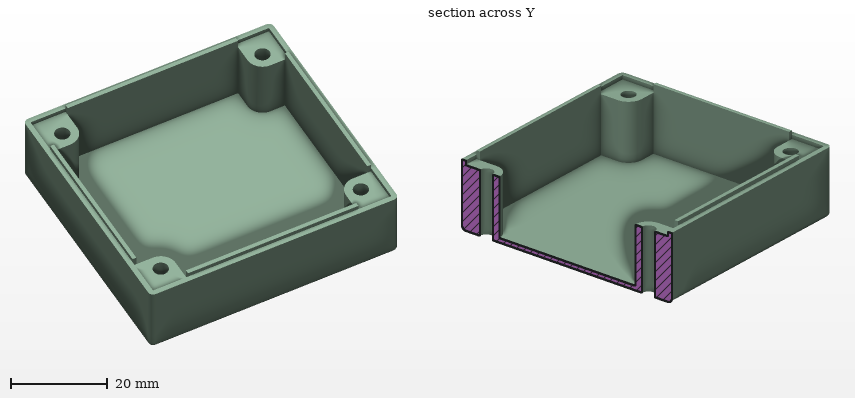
import cadquery as cq

length_x = 55.8
length_y = 58.25
total_height = 17.2

lip_height = 1.0
rim_height = total_height - lip_height
rim_width = 1.15
wall_x = 2.1
wall_y = 2.05
floor_thickness = 1.15
edge_radius = 1.15

hole_diameter = 3.4
hole_spacing_x = 43.0
hole_spacing_y = 46.95
pattern_shift_x = -0.2
pattern_shift_y = 0.25
post_margin = 3.5
post_drop = 1.0
post_top = rim_height - post_drop


def centered_box(size_x, size_y, bottom, top):
    """Box centered on the Z axis between two heights."""
    return cq.Workplane("XY").workplane(offset=bottom).rect(size_x, size_y).extrude(top - bottom)


def make_shell():
    """Open box with rounded outer edges and a raised lip inside its rim."""
    body = centered_box(length_x, length_y, 0, rim_height)
    body = body.edges("|Z or <Z").fillet(edge_radius)
    lip = centered_box(length_x - 2 * rim_width, length_y - 2 * rim_width, rim_height, total_height)
    cavity = centered_box(length_x - 2 * wall_x, length_y - 2 * wall_y, floor_thickness, total_height)
    return body.union(lip).cut(cavity)


def hole_center(side_x, side_y):
    """Center of the hole in the corner given by the two signs."""
    return (
        pattern_shift_x + side_x * hole_spacing_x / 2,
        pattern_shift_y + side_y * hole_spacing_y / 2,
    )


def corner_block(side_x, side_y, bottom, top):
    """Block from the inner faces of a post to the corner of the rim, its inner edge rounded."""
    hole_x, hole_y = hole_center(side_x, side_y)
    inner_x = hole_x - side_x * post_margin
    inner_y = hole_y - side_y * post_margin
    outer_x = side_x * (length_x / 2 - rim_width)
    outer_y = side_y * (length_y / 2 - rim_width)
    block = (
        cq.Workplane("XY")
        .workplane(offset=bottom)
        .center((inner_x + outer_x) / 2, (inner_y + outer_y) / 2)
        .rect(abs(outer_x - inner_x), abs(outer_y - inner_y))
        .extrude(top - bottom)
    )
    inner_edge = cq.selectors.NearestToPointSelector((inner_x, inner_y, (bottom + top) / 2))
    return block.edges("|Z").edges(inner_edge).fillet(post_margin)


result = make_shell()
for side_x in (-1, 1):
    for side_y in (-1, 1):
        result = result.cut(corner_block(side_x, side_y, post_top, total_height))
        result = result.union(corner_block(side_x, side_y, floor_thickness, post_top))

hole_centers = [hole_center(side_x, side_y) for side_x in (-1, 1) for side_y in (-1, 1)]
holes = cq.Workplane("XY").pushPoints(hole_centers).circle(hole_diameter / 2).extrude(total_height)
result = result.cut(holes)